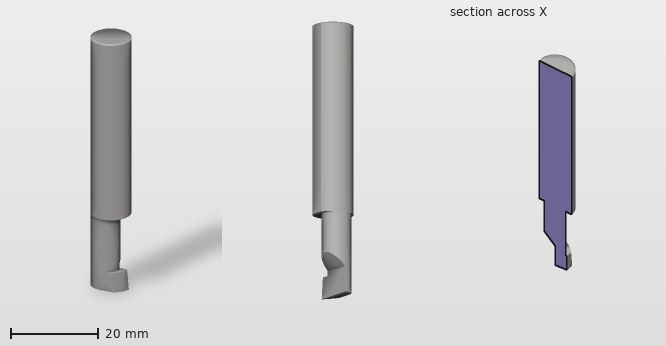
import cadquery as cq
import math

overall_length = 63.49

shank_diameter = 9.525
shank_length = 44.45
shank_flat_y = 4.5075
chamfer_height = 0.25
chamfer_inset = 0.47

neck_diameter = 6.858
relief_length = 9.3
relief_angle = 45

head_top_z = 5.09
head_lean_angle = 5
tip_top_x = 3.92
heel_corner_x = 1.55
heel_bevel = 1
clearance_radius = 6.7

end_slope_x = 2
end_slope_y = 5

shank_radius = shank_diameter / 2
neck_radius = neck_diameter / 2
neck_x = neck_radius - shank_radius
shoulder_z = overall_length - shank_length
tip_x = tip_top_x + head_top_z * math.tan(math.radians(head_lean_angle))
cutter_width = 4 * shank_diameter


def make_shank():
    """Round shank with a chamfered top end and a flat along its +Y side."""
    shank = (
        cq.Workplane("XY", origin=(0, 0, shoulder_z))
        .circle(shank_radius)
        .extrude(shank_length)
        .faces(">Z")
        .chamfer(chamfer_height, chamfer_inset)
    )
    flat_cutter = (
        cq.Workplane("XY", origin=(0, shank_flat_y, shoulder_z))
        .rect(cutter_width, cutter_width)
        .extrude(shank_length)
        .translate((0, cutter_width / 2, 0))
    )
    return shank.cut(flat_cutter)


def make_neck():
    """Round neck whose lower end is cut back to the plane Y = 0 below a sloped run-out."""
    neck_bottom_z = -neck_radius
    neck = (
        cq.Workplane("XY", origin=(neck_x, 0, neck_bottom_z))
        .circle(neck_radius)
        .extrude(shoulder_z - neck_bottom_z)
    )
    relief_start_z = shoulder_z - relief_length
    relief_end_z = relief_start_z - neck_radius * math.tan(math.radians(relief_angle))
    relief = (
        cq.Workplane("YZ")
        .moveTo(0, neck_bottom_z)
        .lineTo(0, relief_end_z)
        .lineTo(neck_radius, relief_start_z)
        .lineTo(neck_radius, neck_bottom_z)
        .close()
        .extrude(shank_diameter, both=True)
    )
    return neck.cut(relief)


def head_outline(z):
    """Closed head section at height z; its free side moves toward +X as z falls."""
    lean = (head_top_z - z) * math.tan(math.radians(head_lean_angle))
    heel = (heel_corner_x + lean, -neck_radius)
    bevel_end = (heel[0] + heel_bevel, heel[1] + heel_bevel)
    tip = (tip_top_x + lean, 0)

    chord_x = tip[0] - bevel_end[0]
    chord_y = tip[1] - bevel_end[1]
    chord = math.hypot(chord_x, chord_y)
    rise = clearance_radius - math.sqrt(clearance_radius**2 - (chord / 2) ** 2)
    arc_middle = (
        (tip[0] + bevel_end[0]) / 2 + rise * chord_y / chord,
        (tip[1] + bevel_end[1]) / 2 - rise * chord_x / chord,
    )
    return (
        cq.Workplane("XY", origin=(0, 0, z))
        .moveTo(neck_x, 0)
        .lineTo(neck_x, -neck_radius)
        .lineTo(*heel)
        .lineTo(*bevel_end)
        .threePointArc(arc_middle, tip)
        .close()
        .val()
    )


def make_head():
    """Leaning half-depth head on the +X side of the neck."""
    outlines = [head_outline(-neck_radius), head_outline(head_top_z)]
    return cq.Workplane(obj=cq.Solid.makeLoft(outlines, True))


def make_end_cutter():
    """Block below the sloped end face, which passes through the tip."""
    slope_x = math.tan(math.radians(end_slope_x))
    slope_y = math.tan(math.radians(end_slope_y))
    end_plane = cq.Plane(
        origin=(tip_x, 0, 0),
        xDir=(1, 0, -slope_x),
        normal=(-slope_x, -slope_y, -1),
    )
    return cq.Workplane(end_plane).rect(cutter_width, cutter_width).extrude(shank_diameter)


result = make_shank().union(make_neck()).union(make_head()).cut(make_end_cutter())